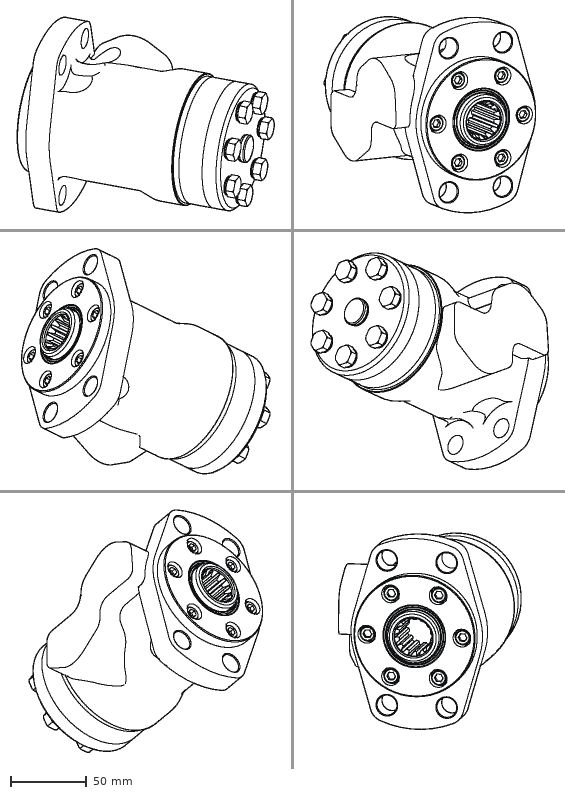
import cadquery as cq
import math


cover_front_x = 4.9
flange_front_x = 12.8
flange_back_x = 29.5
barrel_end_x = 83.5
shoulder_start_x = 87.0
shoulder_end_x = 96.7
collar_start_x = 99.2
housing_end_x = 117.7
spacer_end_x = 121.6
gear_ring_end_x = 138.2
end_cover_back_x = 150.5
motor_length = 158.0

motor_width = 100.0

barrel_radius = 40.5
collar_radius = 89.5 / 2
collar_chamfer = 0.5
shoulder_rise = 0.5
barrel_fillet = 3.8
flange_half_height = 64.8
mount_circle_radius = 106.3 / 2
mount_hole_angle = 67.5
mount_hole_diameter = 13.5
mount_hole_chamfer = 0.6
mount_y = mount_circle_radius * math.cos(math.radians(mount_hole_angle))
mount_z = mount_circle_radius * math.sin(math.radians(mount_hole_angle))
flange_corner_radius = flange_half_height - mount_circle_radius

plain_pocket_radius = 19.0
plain_pocket_y = -21.2
port_pocket_radius = 24.3
port_pocket_y = 23.7
pocket_floor_z = 31.8
pocket_straight_end_x = 36.2
notch_floor_z = 36.8
notch_half_width = 14.2
notch_fillet = 4.6
notch_ramp_x = 41.5
notch_ramp_z = 37.6
notch_end_x = 51.2

port_face_y = motor_width - collar_radius
lobe_half_width = 29.4
lobe_corner_radius = 5.5
right_corner_radius = 9.8
left_corner_radius = 8.4
corner_overlap = 1.6
upper_lobe_x = 50.9
upper_lobe_base_z = -4.9
lower_lobe_x = 87.0
lower_lobe_base_z = -upper_lobe_base_z

upper_lobe_half = [(27.8, 19.0), (25.6, 24.6), (22.0, 28.3), (10.3, 35.5), (0, 38.0)]
lower_lobe_half = [(29.4, -18.6), (28.1, -23.2), (25.0, -26.5), (12.0, -34.3), (0, -38.0)]

cover_radius = 41.2
cover_chamfer = 0.6
cover_bore_radius = 17.9
seal_step_radius = 21.3
seal_step_depth = 0.5
seal_recess_radius = 19.7
seal_recess_depth = 1.5
seal_lip_rim_radius = 18.3
seal_lip_rim_depth = 0.8
seal_lip_base_radius = 19.3
screw_count = 6
screw_circle_radius = 32.4
screw_recess_diameter = 12.0
screw_recess_depth = 6.6
screw_head_diameter = 10.0
screw_head_height = 4.7
screw_head_chamfer = 0.55
screw_socket_flats = 5.0
screw_socket_depth = 3.0

shaft_radius = 17.5
shaft_chamfer = 1.6
shaft_length = 63.2
spline_depth = 39.5
spline_root_radius = 25.5 / 2
spline_tip_radius = 10.9
spline_tooth_count = 14
tooth_base_half_width = 1.9
tooth_tip_half_width = 1.0
tooth_base_step = 0.3
tooth_embed = 0.5
mouth_radius = 13.9
mouth_chamfer = 1.0
mouth_bore_radius = 26.0 / 2
mouth_depth = 2.4
tooth_start_x = 7.1

ring_radius = 43.0
end_cover_chamfer = 2.4
bolt_count = 7
bolt_circle_radius = 31.9
bolt_flats = 13.0
bolt_neck_diameter = 11.8
bolt_neck_height = 0.6
bolt_washer_height = 1.7
bolt_corner_chamfer = 0.6
plug_diameter = 18.6
plug_neck_diameter = 18.0
plug_end_diameter = 17.0
plug_neck_height = 1.3
plug_chamfer = 0.8
plug_height = 4.5


def plane_at(x):
    """Sketch plane across the shaft axis: local x is Y, local y is Z, normal is +X."""
    return cq.Workplane("YZ", origin=(x, 0, 0))


def disc(radius, start_x, end_x):
    return plane_at(start_x).circle(radius).extrude(end_x - start_x)


def circle_points(count, radius):
    """Evenly spaced (y, z) points on a circle, the first on the +Y axis."""
    angles = [2 * math.pi * i / count for i in range(count)]
    return [(radius * math.cos(a), radius * math.sin(a)) for a in angles]


def hex_across_corners(flats):
    return flats / math.cos(math.pi / 6)


def make_turned_shell():
    """Barrel, cone shoulder and collar, turned about the shaft axis."""
    fillet_dip = barrel_fillet * (1 - math.sqrt(0.5))
    return (
        cq.Workplane("XY")
        .moveTo(flange_front_x, 0)
        .lineTo(flange_front_x, barrel_radius)
        .lineTo(flange_back_x, barrel_radius + barrel_fillet)
        .threePointArc(
            (flange_back_x + fillet_dip, barrel_radius + fillet_dip),
            (flange_back_x + barrel_fillet, barrel_radius),
        )
        .lineTo(barrel_end_x, barrel_radius)
        .tangentArcPoint((shoulder_start_x, barrel_radius + shoulder_rise), relative=False)
        .lineTo(shoulder_end_x, collar_radius - shoulder_rise)
        .tangentArcPoint((collar_start_x, collar_radius), relative=False)
        .lineTo(housing_end_x - collar_chamfer, collar_radius)
        .lineTo(housing_end_x, collar_radius - collar_chamfer)
        .lineTo(housing_end_x, 0)
        .close()
        .revolve(360, (0, 0, 0), (1, 0, 0))
    )


def make_flange():
    """Rounded diamond: side arcs of the collar radius, corners concentric with the mounting holes."""
    corner_lean = math.acos((collar_radius - flange_corner_radius) / mount_circle_radius)
    side_angle = math.radians(mount_hole_angle) - corner_lean
    ny, nz = math.cos(side_angle), math.sin(side_angle)
    side_y, side_z = collar_radius * ny, collar_radius * nz
    low_y, low_z = mount_y + flange_corner_radius * ny, mount_z + flange_corner_radius * nz
    middle_angle = (side_angle + math.radians(mount_hole_angle)) / 2
    middle_y = mount_y + flange_corner_radius * math.cos(middle_angle)
    middle_z = mount_z + flange_corner_radius * math.sin(middle_angle)
    stretch = flange_half_height / mount_circle_radius
    high_y, high_z = mount_y * stretch, mount_z * stretch
    return (
        plane_at(flange_front_x)
        .moveTo(side_y, -side_z)
        .threePointArc((collar_radius, 0), (side_y, side_z))
        .lineTo(low_y, low_z)
        .threePointArc((middle_y, middle_z), (high_y, high_z))
        .threePointArc((0, flange_half_height), (-high_y, high_z))
        .threePointArc((-middle_y, middle_z), (-low_y, low_z))
        .lineTo(-side_y, side_z)
        .threePointArc((-collar_radius, 0), (-side_y, -side_z))
        .lineTo(-low_y, -low_z)
        .threePointArc((-middle_y, -middle_z), (-high_y, -high_z))
        .threePointArc((0, -flange_half_height), (high_y, -high_z))
        .threePointArc((middle_y, -middle_z), (low_y, -low_z))
        .close()
        .extrude(flange_back_x - flange_front_x)
    )


def extrude_to_port_face(sketch):
    """Extrude an XZ outline from the shaft axis out to the port face."""
    return sketch.extrude(-port_face_y)


def make_lobe(middle_x, base_z, half_outline):
    """Lobe with a flat base, small base corners, rounded shoulders, straight roofs and a round crest."""
    right = [(middle_x + offset, z) for offset, z in half_outline]
    left = [(middle_x - offset, z) for offset, z in half_outline]
    side_end, shoulder, roof_start, roof_end, crest = range(5)
    rise = math.copysign(lobe_corner_radius, half_outline[crest][1] - base_z)
    corner_z = base_z + rise
    corner_x = lobe_half_width - lobe_corner_radius
    return extrude_to_port_face(
        cq.Workplane("XZ")
        .moveTo(middle_x + lobe_half_width, corner_z)
        .lineTo(*right[side_end])
        .threePointArc(right[shoulder], right[roof_start])
        .lineTo(*right[roof_end])
        .threePointArc(right[crest], left[roof_end])
        .lineTo(*left[roof_start])
        .threePointArc(left[shoulder], left[side_end])
        .lineTo(middle_x - lobe_half_width, corner_z)
        .radiusArc((middle_x - corner_x, base_z), -rise)
        .lineTo(middle_x + corner_x, base_z)
        .radiusArc((middle_x + lobe_half_width, corner_z), -rise)
        .close()
    )


def make_inner_corner(wall_x, floor_z, radius, direction):
    """Concave fillet between a lobe wall and the other lobe's base, on the +X or -X side (1 or -1)."""
    reach = direction * radius
    overlap = direction * corner_overlap
    return extrude_to_port_face(
        cq.Workplane("XZ")
        .moveTo(wall_x - overlap, floor_z - overlap)
        .lineTo(wall_x + reach, floor_z - overlap)
        .lineTo(wall_x + reach, floor_z)
        .radiusArc((wall_x, floor_z + reach), radius)
        .lineTo(wall_x - overlap, floor_z + reach)
        .close()
    )


def make_port_block():
    upper_lobe = make_lobe(upper_lobe_x, upper_lobe_base_z, upper_lobe_half)
    lower_lobe = make_lobe(lower_lobe_x, lower_lobe_base_z, lower_lobe_half)
    right_wall_x = (upper_lobe_x + lobe_half_width + upper_lobe_x + upper_lobe_half[0][0]) / 2
    left_wall_x = lower_lobe_x - lobe_half_width
    right_corner = make_inner_corner(right_wall_x, lower_lobe_base_z, right_corner_radius, 1)
    left_corner = make_inner_corner(left_wall_x, upper_lobe_base_z, left_corner_radius, -1)
    return upper_lobe.union(lower_lobe).union(right_corner).union(left_corner)


def make_pocket(radius, y):
    """Round-ended clearance pocket along the shaft direction, behind an upper mounting hole."""
    tip_x = pocket_straight_end_x + radius
    bend = radius * math.sqrt(0.5)
    pocket = (
        cq.Workplane("XY")
        .moveTo(flange_back_x, 0)
        .lineTo(flange_back_x, radius)
        .lineTo(pocket_straight_end_x, radius)
        .threePointArc((pocket_straight_end_x + bend, bend), (tip_x, 0))
        .close()
        .revolve(360, (0, 0, 0), (1, 0, 0))
    )
    return pocket.translate((0, y, pocket_floor_z + radius))


def make_notch():
    """Ramped cut across the top of the barrel, between the two upper pockets."""
    fillet_dip = notch_fillet * (1 - math.sqrt(0.5))
    return (
        cq.Workplane("XZ")
        .moveTo(flange_back_x, notch_floor_z + notch_fillet)
        .threePointArc(
            (flange_back_x + fillet_dip, notch_floor_z + fillet_dip),
            (flange_back_x + notch_fillet, notch_floor_z),
        )
        .lineTo(pocket_straight_end_x, notch_floor_z)
        .tangentArcPoint((notch_ramp_x, notch_ramp_z), relative=False)
        .lineTo(notch_end_x, barrel_radius)
        .lineTo(notch_end_x, mount_z)
        .lineTo(flange_back_x, mount_z)
        .close()
        .extrude(notch_half_width, both=True)
    )


def make_housing():
    flange = make_flange()
    envelope = flange.union(disc(collar_radius, flange_back_x, housing_end_x))
    body = make_turned_shell().intersect(envelope).union(flange).union(make_port_block())
    upper_cuts = (
        make_notch(),
        make_pocket(port_pocket_radius, port_pocket_y),
        make_pocket(plain_pocket_radius, plain_pocket_y),
    )
    for upper_cut in upper_cuts:
        body = body.cut(upper_cut).cut(upper_cut.mirror("XY"))
    hole_radius = mount_hole_diameter / 2
    thickness = flange_back_x - flange_front_x
    countersink_radius = hole_radius + mount_hole_chamfer
    for y in (mount_y, -mount_y):
        for z in (mount_z, -mount_z):
            body = body.cut(plane_at(flange_front_x).center(y, z).circle(hole_radius).extrude(thickness))
            countersink = cq.Solid.makeCone(
                countersink_radius,
                hole_radius,
                mount_hole_chamfer,
                cq.Vector(flange_front_x, y, z),
                cq.Vector(1, 0, 0),
            )
            body = body.cut(cq.Workplane(countersink))
    return body.cut(disc(shaft_radius, flange_front_x, shaft_length))


def make_seal_recess():
    """Stepped ring recess with a chamfered rim that leaves a low seal lip around the shaft."""
    step_x = cover_front_x + seal_step_depth
    rim_x = cover_front_x + seal_lip_rim_depth
    floor_x = cover_front_x + seal_recess_depth
    return (
        cq.Workplane("XY")
        .moveTo(cover_front_x, cover_bore_radius)
        .lineTo(rim_x, cover_bore_radius)
        .lineTo(rim_x, seal_lip_rim_radius)
        .lineTo(floor_x, seal_lip_base_radius)
        .lineTo(floor_x, seal_recess_radius)
        .lineTo(step_x, seal_recess_radius)
        .lineTo(step_x, seal_step_radius - seal_step_depth)
        .lineTo(cover_front_x, seal_step_radius)
        .close()
        .revolve(360, (0, 0, 0), (1, 0, 0))
    )


def make_cover():
    cover = (
        disc(cover_radius, cover_front_x, flange_front_x)
        .faces("<X")
        .edges()
        .chamfer(cover_chamfer)
    )
    cover = cover.cut(disc(cover_bore_radius, cover_front_x, flange_front_x))
    cover = cover.cut(make_seal_recess())
    seat_x = cover_front_x + screw_recess_depth
    head_x = seat_x - screw_head_height
    points = circle_points(screw_count, screw_circle_radius)
    recesses = (
        plane_at(cover_front_x)
        .pushPoints(points)
        .circle(screw_recess_diameter / 2)
        .extrude(screw_recess_depth)
    )
    heads = (
        plane_at(head_x)
        .pushPoints(points)
        .circle(screw_head_diameter / 2)
        .extrude(screw_head_height)
        .faces("<X")
        .edges()
        .chamfer(screw_head_chamfer)
    )
    sockets = (
        plane_at(head_x)
        .pushPoints(points)
        .polygon(6, hex_across_corners(screw_socket_flats))
        .extrude(screw_socket_depth)
    )
    return cover.cut(recesses).union(heads).cut(sockets)


def make_shaft():
    shaft = disc(shaft_radius, 0, shaft_length).faces("<X").edges().chamfer(shaft_chamfer)
    shaft = shaft.cut(disc(spline_root_radius, 0, spline_depth))
    embed_radius = spline_root_radius + tooth_embed
    flank_radius = spline_root_radius - tooth_base_step
    tooth = (
        plane_at(0)
        .moveTo(-tooth_base_half_width, embed_radius)
        .lineTo(-tooth_base_half_width, flank_radius)
        .lineTo(-tooth_tip_half_width, spline_tip_radius)
        .lineTo(tooth_tip_half_width, spline_tip_radius)
        .lineTo(tooth_base_half_width, flank_radius)
        .lineTo(tooth_base_half_width, embed_radius)
        .close()
        .extrude(spline_depth)
    )
    for i in range(spline_tooth_count):
        shaft = shaft.union(tooth.rotate((0, 0, 0), (1, 0, 0), 360 * i / spline_tooth_count))
    mouth = (
        cq.Workplane("XY")
        .lineTo(0, mouth_radius)
        .lineTo(mouth_chamfer, mouth_bore_radius)
        .lineTo(mouth_depth, mouth_bore_radius)
        .lineTo(tooth_start_x, spline_tip_radius)
        .lineTo(tooth_start_x, 0)
        .close()
        .revolve(360, (0, 0, 0), (1, 0, 0))
    )
    return shaft.cut(mouth)


def make_bolt_heads():
    points = circle_points(bolt_count, bolt_circle_radius)
    base_x = end_cover_back_x
    necks = plane_at(base_x).pushPoints(points).circle(bolt_neck_diameter / 2).extrude(bolt_washer_height)
    washers = (
        plane_at(base_x + bolt_neck_height)
        .pushPoints(points)
        .circle(bolt_flats / 2)
        .extrude(bolt_washer_height - bolt_neck_height)
    )
    hex_x = base_x + bolt_washer_height
    corners = hex_across_corners(bolt_flats)
    hexes = plane_at(hex_x).pushPoints(points).polygon(6, corners).extrude(motor_length - hex_x)
    rounding = (
        plane_at(hex_x)
        .pushPoints(points)
        .circle(corners / 2)
        .extrude(motor_length - hex_x)
        .faces(">X")
        .edges()
        .chamfer(bolt_corner_chamfer)
    )
    return necks.union(washers).union(hexes.intersect(rounding))


def make_end_cover():
    cover = (
        disc(ring_radius, gear_ring_end_x, end_cover_back_x)
        .faces(">X")
        .edges()
        .chamfer(end_cover_chamfer)
    )
    back_x = end_cover_back_x
    plug = (
        disc(plug_diameter / 2, back_x + plug_neck_height, back_x + plug_height)
        .faces(">X")
        .edges()
        .chamfer(plug_chamfer, (plug_diameter - plug_end_diameter) / 2)
    )
    neck = disc(plug_neck_diameter / 2, back_x, back_x + plug_neck_height)
    return cover.union(neck).union(plug).union(make_bolt_heads())


housing = make_housing()
front_cover = make_cover()
shaft = make_shaft()
spacer_plate = disc(ring_radius, housing_end_x, spacer_end_x)
gear_ring = disc(ring_radius, spacer_end_x, gear_ring_end_x)
end_cover = make_end_cover()

result = cq.Compound.makeCompound(
    [
        housing.val(),
        front_cover.val(),
        shaft.val(),
        spacer_plate.val(),
        gear_ring.val(),
        end_cover.val(),
    ]
)